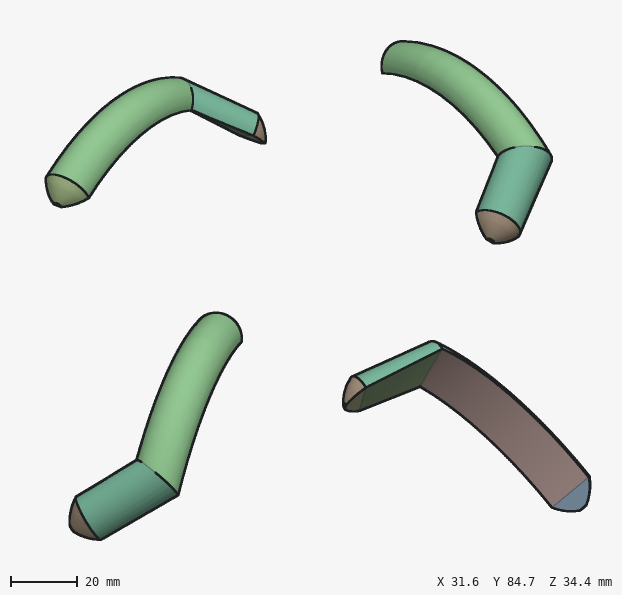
import cadquery as cq
import math

inner_radius = 64.85
bar_radius = 7.55
joint_angle = 33.3
front_angle = 23.3
mitre_angle = 27.0
overlap_angle = 10.0
trim_size = 4 * inner_radius

short_length = 24.2
slope_angle = 48.0
heading_angle = 49.0

tip_length = 6.0
tip_radius = 1.35
tip_bulge = 0.4

joint = cq.Vector(
    0,
    inner_radius * math.sin(math.radians(joint_angle)),
    inner_radius * math.cos(math.radians(joint_angle)),
)


def end_plane(origin, slope, heading):
    """Plane across a bar: normal along the bar, local Y away from its flat face."""
    slope = math.radians(slope)
    heading = math.radians(heading)
    outward = cq.Vector(0, math.sin(slope), math.cos(slope))
    along = cq.Vector(
        math.sin(heading),
        math.cos(heading) * math.cos(slope),
        -math.cos(heading) * math.sin(slope),
    )
    return cq.Plane(origin=origin, xDir=outward.cross(along), normal=along)


def half_round(plane):
    """Closed half-round outline with its flat centred on the plane's origin."""
    return (
        cq.Workplane(plane)
        .moveTo(-bar_radius, 0)
        .threePointArc((0, bar_radius), (bar_radius, 0))
        .close()
    )


def tapered_tip(plane):
    """Half of a blunt, slightly bowed cone continuing the section."""
    middle = ((bar_radius + tip_radius) / 2 + tip_bulge, tip_length / 2 + tip_bulge)
    tip = (
        cq.Workplane("XZ")
        .lineTo(bar_radius, 0)
        .threePointArc(middle, (tip_radius, tip_length))
        .lineTo(0, tip_length)
        .close()
        .revolve(180, (0, 0, 0), (0, 1, 0))
    )
    return cq.Workplane(tip.val().moved(cq.Location(plane)))


def curved_arm():
    """Long arm, cut at the joint by the mitre plane."""
    front = math.radians(front_angle)
    front_centre = cq.Vector(0, -inner_radius * math.sin(front), inner_radius * math.cos(front))
    plane = end_plane(front_centre, -front_angle, 180)
    sweep = front_angle + joint_angle + overlap_angle
    bar = half_round(plane).revolve(sweep, (0, -inner_radius, 0), (-1, -inner_radius, 0))
    keep = (
        cq.Workplane("XY")
        .box(trim_size, trim_size, trim_size)
        .translate((0, -trim_size / 2, 0))
        .rotate((0, 0, 0), (0, 0, 1), -mitre_angle)
        .rotate((0, 0, 0), (1, 0, 0), -joint_angle)
    )
    return bar.intersect(keep).union(tapered_tip(plane))


def straight_arm(mitre_face):
    """Short arm, ruled from the mitre to its own square end section."""
    joint_plane = end_plane(joint, slope_angle, heading_angle)
    plane = end_plane(joint + joint_plane.zDir * short_length, slope_angle, heading_angle)
    end_wire = half_round(plane).val()
    bar = cq.Workplane(cq.Solid.makeLoft([mitre_face.outerWire(), end_wire], True))
    return bar.union(tapered_tip(plane))


long_arm = curved_arm()
mitre = long_arm.faces("%PLANE").faces(">Y").val()
result = long_arm.union(straight_arm(mitre))